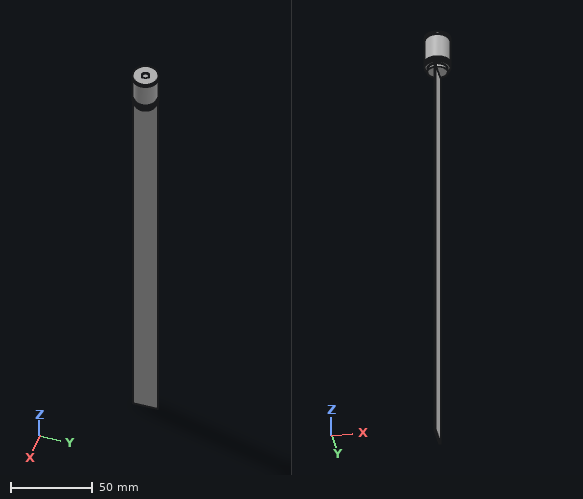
import cadquery as cq

overall_length = 294.0
top_z = overall_length / 2
bottom_z = -overall_length / 2

cap_diameter = 16.0
cap_radius = cap_diameter / 2
cap_height = 22.0
cap_bottom_z = top_z - cap_height

recess_diameter = 4.7
recess_depth = 1.0

groove_radius = 0.4
groove_depths_below_top = (1.75, 18.8, 20.6)

spigot_diameter = 12.0
spigot_insertion = 6.0
neck_gap = 0.5
flange_diameter = 12.75
flange_thickness = 2.5
flange_top_z = cap_bottom_z - neck_gap
flange_bottom_z = flange_top_z - flange_thickness

strap_thickness = 1.0
strap_width = cap_diameter
strap_length = cap_bottom_z - bottom_z


def cylinder(diameter, base_z, height):
    """Upright cylinder on the Z axis."""
    return cq.Workplane("XY").workplane(offset=base_z).circle(diameter / 2).extrude(height)


def groove_ring(center_z):
    """Torus whose inner half cuts a half-round groove into the cap's side."""
    section = cq.Workplane("XZ").center(cap_radius, center_z).circle(groove_radius)
    return section.revolve(360, (-cap_radius, 0), (-cap_radius, 1))


def make_strap():
    base = cq.Workplane("XY").workplane(offset=bottom_z)
    return base.rect(strap_thickness, strap_width).extrude(strap_length)


def make_spigot():
    return cylinder(spigot_diameter, flange_top_z, neck_gap + spigot_insertion)


def make_plug():
    """Flange and spigot, slotted across the part below the cap to let the strap through."""
    flange = cylinder(flange_diameter, flange_bottom_z, flange_thickness)
    return flange.union(make_spigot()).cut(make_strap())


def make_cap():
    """Grooved cylinder with the top recess and a blind bore for the spigot."""
    body = cylinder(cap_diameter, cap_bottom_z, cap_height)
    for depth in groove_depths_below_top:
        body = body.cut(groove_ring(top_z - depth))
    body = body.cut(cylinder(recess_diameter, top_z - recess_depth, recess_depth))
    return body.cut(make_spigot())


cap = make_cap()
plug = make_plug()
strap = make_strap()

result = cq.Compound.makeCompound([cap.val(), plug.val(), strap.val()])